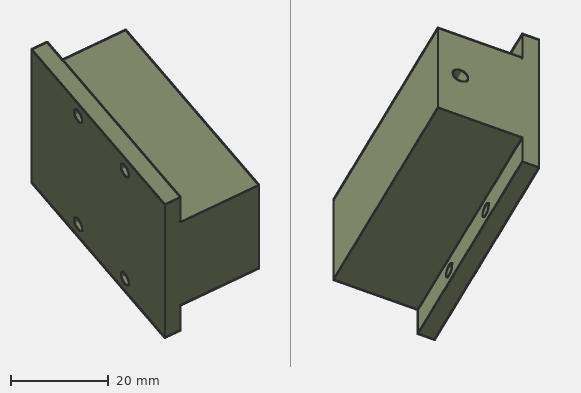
import cadquery as cq
import math

LENGTH = 50.8
DEPTH = 22.86
HEIGHT = 40.64

FLANGE_THICKNESS = 3.81
BLOCK_HEIGHT = 25.4
FRONT_Y = -DEPTH / 2
BACK_Y = DEPTH / 2

FLANGE_HOLE_DIAMETER = 3.048
FLANGE_HOLE_EDGE_DISTANCE = 3.81
FLANGE_HOLE_SPACING = 17.78
FLANGE_HOLE_Z = HEIGHT / 2 - FLANGE_HOLE_EDGE_DISTANCE

END_HOLE_DIAMETER = 3.454
END_HOLE_DEPTH = 12.7
END_HOLE_BACK_DISTANCE = 5.08
DRILL_POINT_ANGLE = 118.0


def make_body():
    """Flange with a centred block running along its back, full length in X."""
    flange = cq.Workplane("XY").box(LENGTH, FLANGE_THICKNESS, HEIGHT)
    flange = flange.translate((0, FRONT_Y + FLANGE_THICKNESS / 2, 0))
    block_depth = DEPTH - FLANGE_THICKNESS
    block = cq.Workplane("XY").box(LENGTH, block_depth, BLOCK_HEIGHT)
    block = block.translate((0, BACK_Y - block_depth / 2, 0))
    return flange.union(block)


def make_flange_holes():
    """Four cylinders that pierce the flange above and below the block."""
    first_x = -LENGTH / 2 + FLANGE_HOLE_SPACING
    centres = [
        (first_x + column * FLANGE_HOLE_SPACING, side * FLANGE_HOLE_Z)
        for column in range(2)
        for side in (-1, 1)
    ]
    return (
        cq.Workplane("XZ", origin=(0, FRONT_Y, 0))
        .pushPoints(centres)
        .circle(FLANGE_HOLE_DIAMETER / 2)
        .extrude(-FLANGE_THICKNESS)
    )


def make_end_hole():
    """Cylinder with a conical drill point, entering from the -X end."""
    radius = END_HOLE_DIAMETER / 2
    tip_length = radius / math.tan(math.radians(DRILL_POINT_ANGLE / 2))
    half_section = (
        cq.Workplane("XY")
        .lineTo(0, radius)
        .lineTo(END_HOLE_DEPTH, radius)
        .lineTo(END_HOLE_DEPTH + tip_length, 0)
        .close()
    )
    hole = half_section.revolve(360, (0, 0, 0), (1, 0, 0))
    return hole.translate((-LENGTH / 2, BACK_Y - END_HOLE_BACK_DISTANCE, 0))


result = make_body().cut(make_flange_holes()).cut(make_end_hole())